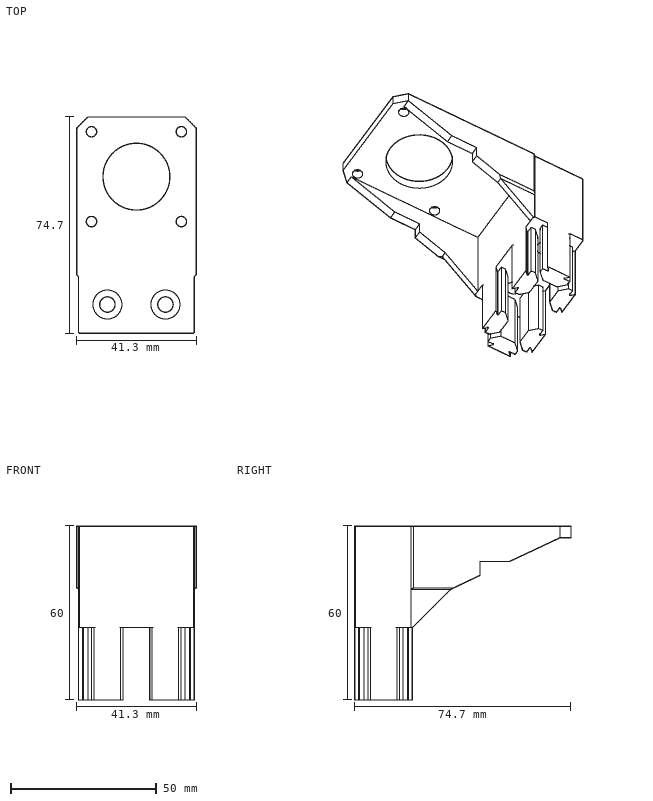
import cadquery as cq

HEIGHT = 59.95
LENGTH = 74.65
ARM_WIDTH = 41.3

CELL_PITCH = 20.0
CELL_DEPTH = 19.9
CELL_CENTERS = (-CELL_PITCH / 2, CELL_PITCH / 2)

BLOCK_WIDTH = CELL_PITCH + CELL_DEPTH
BLOCK_DEPTH = 19.5
BLOCK_BOTTOM = 25.0
BLOCK_CHAMFER = 0.4

TONGUE_MOUTH = 9.1
TONGUE_WIDTH = 10.9
TONGUE_TAPER = 1.35
TONGUE_NECK = 1.65
TONGUE_SHOULDER = 3.3
TONGUE_DEPTH = 5.9

PLATE_THICKNESS = 4.0
TIP_CHAMFER = 3.9
ROOT_CHAMFER = 0.8
WALL_THICKNESS = 3.0
GUSSET_WIDTH = 39.3
ARM_BOTTOM = 38.15
ARM_BEVEL = 0.5
ARM_SLOPE = 0.47
NOTCH_FRONT = 43.3
NOTCH_BACK = 53.3

MOTOR_CENTER_Y = 54.05
MOTOR_BORE = 23.0
MOTOR_SCREW_HOLE = 3.5
MOTOR_SCREW_PITCH = 31.0

SCREW_HOLE = 5.2
SCREW_HEAD = 10.0
SCREW_HEAD_ANGLE = 90


def mirrored(half_outline):
    """Close an outline given for +X by adding its mirror image."""
    return half_outline + [(-x, y) for x, y in reversed(half_outline)]


def make_block():
    block = cq.Workplane("XY").workplane(offset=BLOCK_BOTTOM).center(0, BLOCK_DEPTH / 2)
    block = block.rect(BLOCK_WIDTH, BLOCK_DEPTH).extrude(HEIGHT - BLOCK_BOTTOM)
    return block.edges("|Z and <Y").chamfer(BLOCK_CHAMFER)


def make_tongue(center_x, angle):
    """Tongue whose mouth faces -Y before it is turned about the cell center."""
    center_y = CELL_DEPTH / 2
    mouth = TONGUE_MOUTH / 2
    neck = mouth - TONGUE_TAPER
    wide = TONGUE_WIDTH / 2
    inner = wide - (TONGUE_DEPTH - TONGUE_SHOULDER)
    half_section = [
        (mouth, 0),
        (neck, TONGUE_TAPER),
        (neck, TONGUE_NECK),
        (wide, TONGUE_NECK),
        (wide, TONGUE_SHOULDER),
        (inner, TONGUE_DEPTH),
    ]
    half_section = [(x, depth - center_y) for x, depth in half_section]
    tongue = cq.Workplane("XY").polyline(mirrored(half_section)).close().extrude(BLOCK_BOTTOM)
    return tongue.rotate((0, 0, 0), (0, 0, 1), angle).translate((center_x, center_y, 0))


def lower_edge(y):
    """Height of the sloping lower edge of the arm."""
    return HEIGHT - PLATE_THICKNESS - ARM_SLOPE * (LENGTH - TIP_CHAMFER - y)


def make_arm():
    """Arm as the common volume of its plan, side and end outlines, hollowed below the plate."""
    half_width = ARM_WIDTH / 2
    plan = mirrored([
        (BLOCK_WIDTH / 2, BLOCK_DEPTH),
        (half_width, BLOCK_DEPTH + ROOT_CHAMFER),
        (half_width, LENGTH - TIP_CHAMFER),
        (half_width - TIP_CHAMFER, LENGTH),
    ])
    plate_bottom = HEIGHT - PLATE_THICKNESS
    notch_top = lower_edge(NOTCH_BACK)
    gusset_rise = ARM_BOTTOM - BLOCK_BOTTOM
    side = [
        (BLOCK_DEPTH, HEIGHT),
        (BLOCK_DEPTH, BLOCK_BOTTOM),
        (CELL_DEPTH, BLOCK_BOTTOM),
        (CELL_DEPTH + gusset_rise, ARM_BOTTOM),
        (NOTCH_FRONT, lower_edge(NOTCH_FRONT)),
        (NOTCH_FRONT, notch_top),
        (NOTCH_BACK, notch_top),
        (LENGTH - TIP_CHAMFER, plate_bottom),
        (LENGTH, plate_bottom),
        (LENGTH, HEIGHT),
    ]
    end = mirrored([
        (GUSSET_WIDTH / 2, BLOCK_BOTTOM),
        (GUSSET_WIDTH / 2, ARM_BOTTOM),
        (half_width, ARM_BOTTOM + ARM_BEVEL),
        (half_width, HEIGHT),
    ])
    arm = cq.Workplane("XY").polyline(plan).close().extrude(HEIGHT)
    arm = arm.intersect(cq.Workplane("YZ").polyline(side).close().extrude(half_width, both=True))
    arm = arm.intersect(cq.Workplane("XZ").polyline(end).close().extrude(-LENGTH))
    pocket_width = ARM_WIDTH - 2 * WALL_THICKNESS
    pocket = cq.Workplane("XY").box(pocket_width, LENGTH, plate_bottom, centered=(True, False, False))
    return arm.cut(pocket.translate((0, CELL_DEPTH, 0)))


def cut_motor_mount(body):
    mount = body.faces(">Z").workplane(origin=(0, MOTOR_CENTER_Y, HEIGHT))
    body = mount.hole(MOTOR_BORE, PLATE_THICKNESS)
    mount = body.faces(">Z").workplane(origin=(0, MOTOR_CENTER_Y, HEIGHT))
    mount = mount.rect(MOTOR_SCREW_PITCH, MOTOR_SCREW_PITCH, forConstruction=True).vertices()
    return mount.hole(MOTOR_SCREW_HOLE, PLATE_THICKNESS)


def cut_profile_screws(body):
    screws = body.faces(">Z").workplane(origin=(0, CELL_DEPTH / 2, HEIGHT))
    screws = screws.pushPoints([(x, 0) for x in CELL_CENTERS])
    return screws.cskHole(SCREW_HOLE, SCREW_HEAD, SCREW_HEAD_ANGLE)


result = make_block().union(make_arm())
for cell_x in CELL_CENTERS:
    outer_side_angle = -90 if cell_x < 0 else 90
    for tongue_angle in (0, 180, outer_side_angle):
        result = result.union(make_tongue(cell_x, tongue_angle))
result = cut_profile_screws(cut_motor_mount(result))